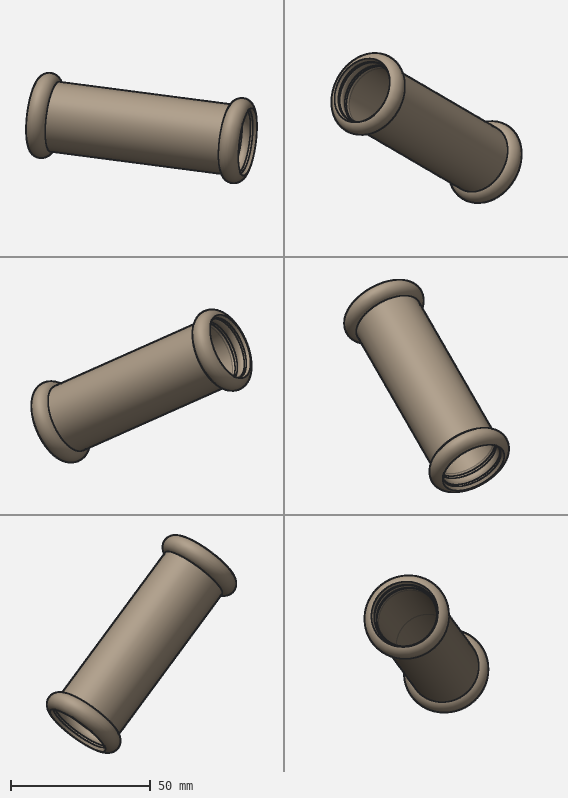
import cadquery as cq
import math

length = 79.0
tube_radius = 25.3 / 2
bore_radius = 22.3 / 2

bead_outer_radius = 30.8 / 2
bead_round_radius = 3.7
bead_center_radius = bead_outer_radius - bead_round_radius

socket_radius = 22.9 / 2
mouth_radius = 12.2
mouth_taper_depth = 1.35
socket_depth = 6.3
socket_step_length = 1.0

seal_start = 2.2
seal_width = 3.1
seal_crest_radius = 11.0
seal_end = seal_start + seal_width
seal_middle = seal_start + seal_width / 2

def bead_half_width(radius):
    """Axial distance from the middle of the bead to its surface at a given radius."""
    return math.sqrt(bead_round_radius**2 - (radius - bead_center_radius) ** 2)


bead_depth = bead_half_width(mouth_radius)
bead_end = bead_depth + bead_half_width(tube_radius)


def half_fitting():
    """Revolve one half, from its open end at X = -length / 2 to the middle plane."""
    bore_start = socket_depth + socket_step_length
    step_height = socket_radius - bore_radius
    step_arc_radius = (socket_step_length**2 + step_height**2) / (2 * step_height)
    half_angle = math.asin(socket_step_length / step_arc_radius) / 2
    step_middle = (
        bore_start - step_arc_radius * math.sin(half_angle),
        bore_radius + step_arc_radius * (1 - math.cos(half_angle)),
    )

    profile = (
        cq.Workplane("XY")
        .moveTo(length / 2, bore_radius)
        .lineTo(length / 2, tube_radius)
        .lineTo(bead_end, tube_radius)
        .threePointArc((bead_depth, bead_outer_radius), (0, mouth_radius))
        .lineTo(mouth_taper_depth, socket_radius)
        .lineTo(seal_start, socket_radius)
        .threePointArc((seal_middle, seal_crest_radius), (seal_end, socket_radius))
        .lineTo(socket_depth, socket_radius)
        .threePointArc(step_middle, (bore_start, bore_radius))
        .close()
    )
    half = profile.revolve(360, (0, 0, 0), (1, 0, 0))
    return half.translate((-length / 2, 0, 0))


left_half = half_fitting()
right_half = left_half.mirror("YZ")
result = left_half.union(right_half)